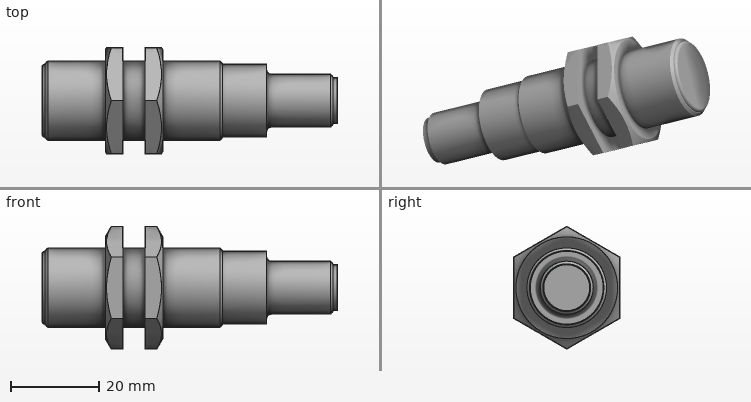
import cadquery as cq
import math

total_length = 66.8
tip_length = 1.0
plug_length = 15.0
collar_length = 10.0
plug_end = total_length - tip_length
plug_start = plug_end - plug_length
barrel_end = plug_start - collar_length

barrel_radius = 18.0 / 2
collar_radius = 16.5 / 2
plug_radius = 12.0 / 2
tip_radius = 10.4 / 2

cap_radius = 16.5 / 2
cap_length = 0.7
cap_round = 0.7
barrel_chamfer = 0.6
plug_root_fillet = 1.0
plug_chamfer = 0.6

nut_across_flats = 24.0
nut_thickness = 4.0
nut_gap = 5.0
front_nut_start = 14.3
nut_face_radius = 23.0 / 2
nut_chamfer_angle = math.radians(30)
nut_corner_diameter = nut_across_flats / math.cos(math.pi / 6)


def cylinder(start, end, radius):
    """Solid cylinder on the X axis."""
    return cq.Workplane("YZ", origin=(start, 0, 0)).circle(radius).extrude(end - start)


def make_barrel():
    """Rounded cap, chamfered barrel, collar, plug with a root fillet, and tip."""
    cap = cylinder(0, cap_length + barrel_chamfer, cap_radius).faces("<X").edges().fillet(cap_round)
    barrel = cylinder(cap_length, barrel_end, barrel_radius).faces("<X or >X").edges().chamfer(barrel_chamfer)
    collar = cylinder(barrel_end - barrel_chamfer, plug_start, collar_radius)
    plug = cylinder(plug_start, plug_end, plug_radius).faces(">X").edges().chamfer(plug_chamfer)
    tip = cylinder(plug_end, total_length, tip_radius)
    return cap.union(barrel).union(collar).union(plug).union(tip).union(make_root_fillet())


def make_root_fillet():
    """Concave ring between the collar face and the plug."""
    outer_radius = plug_radius + plug_root_fillet
    fillet_end = plug_start + plug_root_fillet
    arc_offset = plug_root_fillet * (1 - math.sqrt(0.5))
    return (
        cq.Workplane("XY")
        .moveTo(plug_start, 0)
        .lineTo(plug_start, outer_radius)
        .threePointArc(
            (plug_start + arc_offset, plug_radius + arc_offset),
            (fillet_end, plug_radius),
        )
        .lineTo(fillet_end, 0)
        .close()
        .revolve(360, (0, 0, 0), (1, 0, 0))
    )


def make_nut(flat_face, outward):
    """Hexagonal nut from flat_face; outward is the X direction (+1 or -1) of its chamfered face."""
    corner_radius = nut_corner_diameter / 2
    chamfered_face = flat_face + outward * nut_thickness
    chamfer_depth = (corner_radius - nut_face_radius) * math.tan(nut_chamfer_angle)
    hexagon = (
        cq.Workplane("YZ", origin=(flat_face, 0, 0))
        .transformed(rotate=(0, 0, 90))
        .polygon(6, nut_corner_diameter)
        .extrude(outward * nut_thickness)
    )
    envelope = (
        cq.Workplane("XY")
        .moveTo(flat_face, 0)
        .lineTo(flat_face, corner_radius)
        .lineTo(chamfered_face - outward * chamfer_depth, corner_radius)
        .lineTo(chamfered_face, nut_face_radius)
        .lineTo(chamfered_face, 0)
        .close()
        .revolve(360, (0, 0, 0), (1, 0, 0))
    )
    return hexagon.intersect(envelope)


front_nut_end = front_nut_start + nut_thickness
front_nut = make_nut(front_nut_end, -1)
rear_nut = make_nut(front_nut_end + nut_gap, 1)
result = make_barrel().union(front_nut).union(rear_nut)